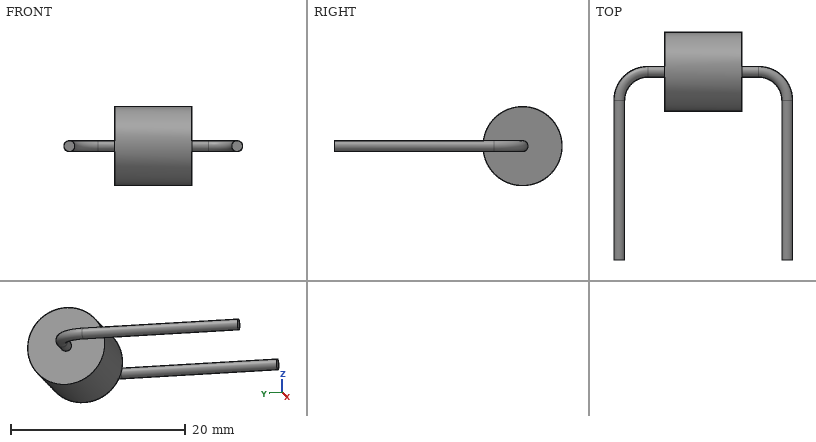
import cadquery as cq

overall_width = 20.5
overall_depth = 26.13

body_diameter = 9.1
body_length = 8.83

wire_diameter = 1.25
bend_radius = 3.27

body_end_x = body_length / 2
leg_x = (overall_width - wire_diameter) / 2
bend_start_x = leg_x - bend_radius
tip_y = body_diameter / 2 - overall_depth


def make_body():
    """Solid cylinder centred on the origin, lying along X."""
    return (
        cq.Workplane("YZ", origin=(-body_end_x, 0, 0))
        .circle(body_diameter / 2)
        .extrude(body_length)
    )


def make_lead(side):
    """Wire from the body's end face, bent a quarter turn toward -Y; side is +1 or -1."""
    bend_middle = bend_radius * 0.5 ** 0.5
    centreline = (
        cq.Workplane("XY")
        .moveTo(side * body_end_x, 0)
        .lineTo(side * bend_start_x, 0)
        .threePointArc(
            (side * (bend_start_x + bend_middle), bend_middle - bend_radius),
            (side * leg_x, -bend_radius),
        )
        .lineTo(side * leg_x, tip_y)
    )
    return (
        cq.Workplane("YZ", origin=(side * body_end_x, 0, 0))
        .circle(wire_diameter / 2)
        .sweep(centreline)
    )


body = make_body()
leads = [make_lead(side) for side in (-1, 1)]

result = cq.Compound.makeCompound([body.val(), *[lead.val() for lead in leads]])